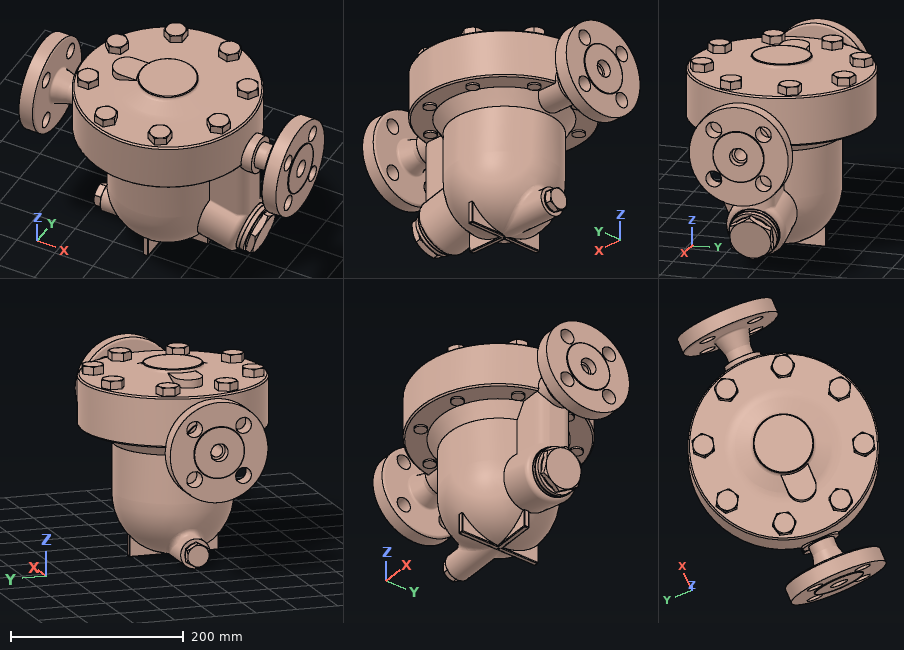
import cadquery as cq
import math


rim_d = 222
rim_top = 54.5
rim_bottom = -6
rim_edge = 2

neck_r = 83
neck_bottom = -25
body_r = 71
dome_start = -84
base_z = -160
dome_gap = 1

crown_foot_r = 62
crown_slope = math.radians(20)
crown_blend_r = 35
cap_d = 70
cap_top = 68.9
cap_chamfer = 1
cap_fillet = 5

tab_r = 17
tab_centre_x = -53.5
tab_top = 64.4

bolt_count = 8
bolt_circle_r = 93
bolt_d = 16
bolt_head_flats = 24
bolt_head_h = 10
bolt_tip_z = -8.2
bolt_head_turn = -22.5

port_boss_d = 46
left_boss_end = -112
right_boss_end = 122
pipe_d = 32
pipe_length = 12.3
hub_d = 44
flange_d = 120
flange_t = 20
flange_edge = 2
hub_fillet = 3
left_flange_face = -164
right_flange_face = 174
facing_d = 62
facing_h = 1
facing_edge = 0.6
flange_hole_d = 19
flange_hole_offset = 30
port_bore_d = 21
port_bore_depth = 9
inner_bore_d = 15
inner_bore_depth = 40

column_end_x = 114
column_corner_r = 13
column_fillet = 3

strainer_tilt = math.radians(14)
strainer_offset = -83
strainer_axis_z = strainer_offset / math.cos(strainer_tilt)
strainer_root = 40
strainer_d = 73
strainer_end = 131
strainer_fillet = 7.2
collar_d = 60
collar_end = 135.3
plug_rim_d = 58
plug_rim_end = 140.5
gasket_d = 49.5
plug_start = 142.5
plug_end = 151
plug_flats = 49.5

drain_d = 36
drain_z = base_z + drain_d / 2
drain_end_x = -79.5
drain_neck_d = 26
drain_neck_length = 2
drain_plug_h = 9
drain_plug_flats = 26
drain_fillet = 6

foot_reach = 55
foot_t = 7
foot_height = 40
foot_edge = 1

slack = 0.1
overlap = 1


def cylinder_x(diameter, x_from, x_to, z=0):
    """Cylinder along X between two stations."""
    plane = cq.Plane(origin=(x_from, 0, z), xDir=(0, 1, 0), normal=(1, 0, 0))
    return cq.Workplane(plane).circle(diameter / 2).extrude(x_to - x_from)


def hex_head(flats, height):
    """Hexagonal head on z = 0 with vertices on X and its outer corners turned off conically."""
    corner_r = flats / math.sqrt(3)
    chamfer_h = (corner_r - flats / 2) / 2
    prism = cq.Workplane("XY").polygon(6, 2 * corner_r).extrude(height)
    turned = (
        cq.Workplane("XY")
        .circle(corner_r)
        .extrude(height)
        .faces(">Z")
        .chamfer(chamfer_h, corner_r - flats / 2)
    )
    return prism.intersect(turned)


def make_shell():
    """Body neck, cylinder and spherical dome, revolved as one profile."""
    dome_bottom = base_z + dome_gap
    dome_h = dome_start - dome_bottom
    dome_r = (body_r**2 + dome_h**2) / (2 * dome_h)
    diagonal = math.sqrt(0.5)
    dome_middle = (dome_r * diagonal, dome_bottom + dome_r * (1 - diagonal))
    return (
        cq.Workplane("XZ")
        .moveTo(0, rim_bottom)
        .lineTo(neck_r, rim_bottom)
        .lineTo(body_r, neck_bottom)
        .lineTo(body_r, dome_start)
        .threePointArc(dome_middle, (0, dome_bottom))
        .close()
        .revolve(360, (0, 0), (0, 1))
    )


def make_shell_with_drain():
    """Body shell with the drain boss filleted into the dome."""
    shell = make_shell().union(cylinder_x(drain_d, drain_end_x, 0, drain_z))
    return shell.edges("%BSPLINE").fillet(drain_fillet)


def make_rim():
    """Thick bolted rim of body and cover with broken edges."""
    rim_h = rim_top - rim_bottom
    rim = cq.Workplane("XY").workplane(offset=rim_bottom).circle(rim_d / 2).extrude(rim_h)
    return rim.edges().chamfer(rim_edge)


def make_crown():
    """Shallow cone and round cap on the cover, blended into the cover face."""
    blend = crown_blend_r * math.tan(crown_slope / 2)
    blend_outer = (crown_foot_r + blend, rim_top)
    blend_inner_r = crown_foot_r - blend * math.cos(crown_slope)
    blend_inner = (blend_inner_r, rim_top + blend * math.sin(crown_slope))
    half = crown_slope / 2
    blend_middle = (
        blend_outer[0] - crown_blend_r * math.sin(half),
        rim_top + crown_blend_r * (1 - math.cos(half)),
    )
    cap_r = cap_d / 2
    cap_foot = rim_top + (crown_foot_r - cap_r) * math.tan(crown_slope)
    crown = (
        cq.Workplane("XZ")
        .moveTo(0, rim_top - rim_edge)
        .lineTo(blend_outer[0], rim_top - rim_edge)
        .lineTo(*blend_outer)
        .threePointArc(blend_middle, blend_inner)
        .lineTo(cap_r, cap_foot)
        .lineTo(cap_r, cap_top)
        .lineTo(0, cap_top)
        .close()
        .revolve(360, (0, 0), (0, 1))
    )
    crown = crown.faces(">Z").edges().chamfer(cap_chamfer)
    foot_edge_box = cq.selectors.BoxSelector(
        (-cap_d, -cap_d, cap_foot - slack), (cap_d, cap_d, cap_foot + slack)
    )
    return crown.edges(foot_edge_box).fillet(cap_fillet)


def make_tab():
    """Round-ended tab reaching from the cap toward -X."""
    tab = cq.Workplane("XY").workplane(offset=rim_top).center(tab_centre_x, 0)
    tab = tab.circle(tab_r).extrude(tab_top - rim_top)
    bar = (
        cq.Workplane("XY")
        .workplane(offset=rim_top)
        .center(tab_centre_x / 2, 0)
        .rect(-tab_centre_x, 2 * tab_r)
        .extrude(tab_top - rim_top)
    )
    return tab.union(bar)


def add_bolts(body):
    """Ring of cover bolts: heads above the rim and shank tips below it."""
    head = hex_head(bolt_head_flats, bolt_head_h)
    tip_length = rim_bottom - bolt_tip_z + overlap
    tip = cq.Workplane("XY").workplane(offset=bolt_tip_z).circle(bolt_d / 2).extrude(tip_length)
    step = 360 / bolt_count
    for index in range(bolt_count):
        angle = step * (index + 0.5)
        turned_head = head.rotate((0, 0, 0), (0, 0, 1), bolt_head_turn)
        bolt = turned_head.translate((0, 0, rim_top)).union(tip)
        body = body.union(bolt.translate((bolt_circle_r, 0, 0)).rotate((0, 0, 0), (0, 0, 1), angle))
    return body


def make_port(boss_end, flange_face):
    """Boss, pipe, hub cone and flange running along X from the body axis to one side."""
    side = math.copysign(1, flange_face)
    flange_back = flange_face - side * flange_t
    hub_start = boss_end + side * pipe_length
    boss = cylinder_x(port_boss_d, 0, boss_end)
    pipe_and_hub = (
        cq.Workplane("XY")
        .moveTo(boss_end, 0)
        .lineTo(boss_end, pipe_d / 2)
        .lineTo(hub_start, pipe_d / 2)
        .lineTo(flange_back, hub_d / 2)
        .lineTo(flange_back, 0)
        .close()
        .revolve(360, (0, 0), (1, 0))
    )
    flange = cylinder_x(flange_d, flange_back, flange_face)
    flange_back_side = "<X" if side > 0 else ">X"
    flange = flange.faces(flange_back_side).edges().chamfer(flange_edge)
    holes = (
        cq.Workplane(cq.Plane(origin=(flange_back, 0, 0), xDir=(0, 1, 0), normal=(side, 0, 0)))
        .rect(2 * flange_hole_offset, 2 * flange_hole_offset, forConstruction=True)
        .vertices()
        .circle(flange_hole_d / 2)
        .extrude(flange_t)
    )
    facing = cylinder_x(facing_d, flange_face, flange_face + side * facing_h)
    facing = facing.faces(">X" if side > 0 else "<X").edges().chamfer(facing_edge)
    hub_corner = cq.selectors.BoxSelector(
        (flange_back - slack, -hub_d, -hub_d), (flange_back + slack, hub_d, hub_d)
    )
    fitting = pipe_and_hub.union(flange).edges(hub_corner).fillet(hub_fillet)
    return boss.union(fitting).union(facing).cut(holes)


def cut_port_bore(body, flange_face):
    """Stepped blind bore entering from a flange face."""
    side = math.copysign(1, flange_face)
    bore = cylinder_x(port_bore_d, flange_face + side * facing_h, flange_face - side * port_bore_depth)
    inner = cylinder_x(inner_bore_d, flange_face, flange_face - side * inner_bore_depth)
    return body.cut(bore).cut(inner)


def make_outlet_column():
    """Upright passage column from the strainer boss to the outlet port."""
    column = (
        cq.Workplane("XY")
        .workplane(offset=strainer_axis_z)
        .center(column_end_x / 2, 0)
        .rect(column_end_x, port_boss_d)
        .extrude(-strainer_axis_z)
    )
    return column.edges("|Z and >X").fillet(column_corner_r)


def strainer_plane(distance):
    """Plane square to the inclined strainer axis, at a distance along it."""
    along = (math.cos(strainer_tilt), 0, -math.sin(strainer_tilt))
    upward = (math.sin(strainer_tilt), 0, math.cos(strainer_tilt))
    foot = tuple(strainer_offset * c for c in upward)
    origin = tuple(f + distance * c for f, c in zip(foot, along))
    return cq.Plane(origin=origin, xDir=upward, normal=along)


def strainer_disc(diameter, start, end):
    """Cylinder on the inclined strainer axis between two stations."""
    return cq.Workplane(strainer_plane(start)).circle(diameter / 2).extrude(end - start)


def make_strainer_boss():
    """Inclined boss with a rounded outer edge."""
    boss = strainer_disc(strainer_d, strainer_root, strainer_end)
    outermost = cq.selectors.DirectionMinMaxSelector(strainer_plane(0).zDir, True)
    return boss.faces(outermost).edges().fillet(strainer_fillet)


def make_outlet():
    """Outlet column standing on the strainer boss, with filleted side joints."""
    outlet = make_outlet_column().union(make_strainer_boss())
    joint_top = strainer_axis_z + strainer_d / 2
    joints = cq.selectors.BoxSelector(
        (strainer_root / 2, -port_boss_d, -column_end_x), (column_end_x, port_boss_d, joint_top + overlap)
    )
    side_lines = cq.selectors.ParallelDirSelector(strainer_plane(0).zDir)
    return outlet.edges(joints).edges(side_lines).fillet(column_fillet)


def make_strainer_plug():
    """Collar, rim, gasket and hexagonal plug on the strainer boss."""
    collar = strainer_disc(collar_d, strainer_end, collar_end)
    rim = strainer_disc(plug_rim_d, collar_end, plug_rim_end)
    gasket = strainer_disc(gasket_d, plug_rim_end, plug_start)
    head = hex_head(plug_flats, plug_end - plug_start).val().moved(cq.Location(strainer_plane(plug_start)))
    return collar.union(rim).union(gasket).union(cq.Workplane(head))


def make_drain_plug():
    """Neck and hexagonal plug on the drain boss."""
    neck_end = drain_end_x - drain_neck_length
    neck = cylinder_x(drain_neck_d, drain_end_x, neck_end, drain_z)
    plane = cq.Plane(origin=(neck_end, 0, drain_z), xDir=(0, 0, 1), normal=(-1, 0, 0))
    head = hex_head(drain_plug_flats, drain_plug_h).val().moved(cq.Location(plane))
    return neck.union(cq.Workplane(head))


def make_foot(direction_angle):
    """Upright plate foot under the dome, pointing along the given angle in the XY plane."""
    foot = (
        cq.Workplane("XY")
        .workplane(offset=base_z)
        .center(foot_reach / 2, 0)
        .rect(foot_reach, foot_t)
        .extrude(foot_height)
    )
    foot = foot.faces(">X or <Z").edges().chamfer(foot_edge)
    return foot.rotate((0, 0, 0), (0, 0, 1), direction_angle)


result = make_shell_with_drain()
for foot_angle in (-90, 0, 90):
    result = result.union(make_foot(foot_angle))
result = result.union(make_outlet())
result = result.union(make_rim()).union(make_crown()).union(make_tab())
result = result.union(make_port(left_boss_end, left_flange_face))
result = result.union(make_port(right_boss_end, right_flange_face))
result = cut_port_bore(result, left_flange_face)
result = cut_port_bore(result, right_flange_face)
result = add_bolts(result)
result = result.union(make_strainer_plug()).union(make_drain_plug())